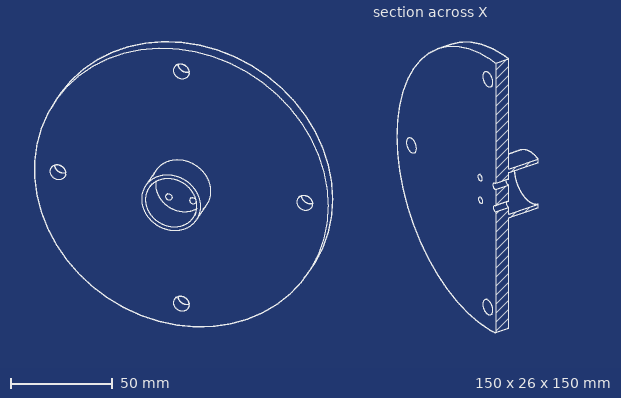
import cadquery as cq

flange_diameter = 150.0
flange_thickness = 8.0

spigot_length = 18.0
spigot_diameter = 30.0
bore_diameter = 26.1

mount_hole_diameter = 8.0
mount_circle_radius = 63.0

small_hole_diameter = 3.3
small_circle_radius = 8.7
small_hole_start_angle = 43.0

holes_per_circle = 4


def disc(diameter, length):
    """Cylinder along the Y axis, growing from Y = 0 toward -Y."""
    return cq.Workplane("XZ").circle(diameter / 2).extrude(length)


def hole_circle(hole_diameter, circle_radius, start_angle):
    """Evenly spaced cutters that pass through the flange."""
    return (
        cq.Workplane("XZ")
        .polarArray(circle_radius, start_angle, 360, holes_per_circle)
        .circle(hole_diameter / 2)
        .extrude(flange_thickness)
    )


flange = disc(flange_diameter, flange_thickness)
spigot = disc(spigot_diameter, flange_thickness + spigot_length)

bore = disc(bore_diameter, spigot_length).translate((0, -flange_thickness, 0))

mount_holes = hole_circle(mount_hole_diameter, mount_circle_radius, 0)
small_holes = hole_circle(small_hole_diameter, small_circle_radius, small_hole_start_angle)

result = flange.union(spigot).cut(bore).cut(mount_holes).cut(small_holes)